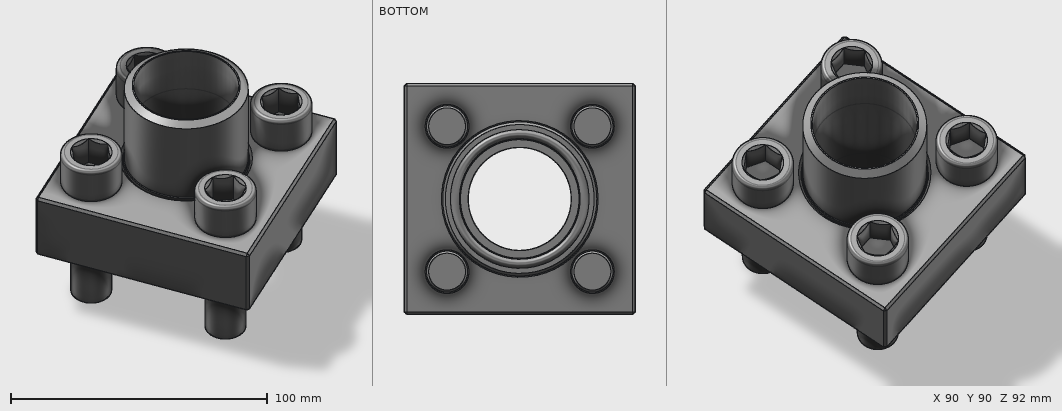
import cadquery as cq
import math

TOTAL_HEIGHT = 92.0
PLATE_BOTTOM = 26.0
PLATE_TOP = 55.0
FLANGE_BOTTOM = 23.5
RING_BOTTOM = 23.0

PLATE_SIDE = 90.0
PLATE_CHAMFER = 1.0
NECK_HOLE_DIAMETER = 49.5
NECK_HOLE_CHAMFER = 1.0
FLANGE_RECESS_DIAMETER = 61.0
SCREW_HOLE_DIAMETER = 17.0
SCREW_SPACING = 56.6
SCREW_COUNT = 4

NECK_DIAMETER = 48.3
SHOULDER_DIAMETER = 49.0
FLANGE_DIAMETER = 60.0
FLANGE_TOP = 36.8
FLANGE_CHAMFER = 1.0
UPPER_BORE_DIAMETER = 40.9
LOWER_BORE_DIAMETER = 40.0
BORE_TAPER_TOP = 73.05
WELD_LAND = 0.55
WELD_BEVEL_ANGLE = 30.0

GROOVE_OUTER_DIAMETER = 54.0
GROOVE_INNER_DIAMETER = 46.2
RING_THICKNESS = 3.5

SHANK_DIAMETER = 16.0
SHANK_TIP_CHAMFER = 0.8
HEAD_DIAMETER = 24.0
HEAD_HEIGHT = 15.9
HEAD_TOP_FILLET = 1.6
HEAD_BOTTOM_FILLET = 1.4
SOCKET_SIDES = 6
SOCKET_CORNER_DIAMETER = 16.2
SOCKET_DEPTH = 12.0
SOCKET_BEVEL_ANGLE = 45.0


def cylinder(diameter, bottom, top):
    """Solid cylinder on the Z axis between two heights."""
    return cq.Workplane("XY").workplane(offset=bottom).circle(diameter / 2).extrude(top - bottom)


def make_plate():
    """Square plate with the neck hole, a recess for the flange and four screw holes."""
    thickness = PLATE_TOP - PLATE_BOTTOM
    block = (
        cq.Workplane("XY")
        .workplane(offset=PLATE_BOTTOM)
        .rect(PLATE_SIDE, PLATE_SIDE)
        .extrude(thickness)
        .edges()
        .chamfer(PLATE_CHAMFER)
    )
    block = block.cut(cylinder(NECK_HOLE_DIAMETER, PLATE_BOTTOM, PLATE_TOP))
    block = block.faces(">Z").edges("%CIRCLE").chamfer(NECK_HOLE_CHAMFER)
    block = block.cut(cylinder(FLANGE_RECESS_DIAMETER, PLATE_BOTTOM, FLANGE_TOP))
    screw_holes = (
        cq.Workplane("XY")
        .rarray(SCREW_SPACING, SCREW_SPACING, 2, 2)
        .circle(SCREW_HOLE_DIAMETER / 2)
        .extrude(PLATE_TOP)
    )
    return block.cut(screw_holes)


def make_neck():
    """Tube with a weld bevel on top, a wider shoulder inside the plate and a flange below.

    A 45 degree step joins the shoulder to the tube, and the flange face has a seal groove.
    """
    neck_radius = NECK_DIAMETER / 2
    shoulder_radius = SHOULDER_DIAMETER / 2
    shoulder_step = shoulder_radius - neck_radius
    flange_radius = FLANGE_DIAMETER / 2
    upper_bore_radius = UPPER_BORE_DIAMETER / 2
    lower_bore_radius = LOWER_BORE_DIAMETER / 2
    bevel_inner_radius = upper_bore_radius + WELD_LAND
    bevel_drop = (neck_radius - bevel_inner_radius) * math.tan(math.radians(WELD_BEVEL_ANGLE))
    body = (
        cq.Workplane("XZ")
        .moveTo(lower_bore_radius, FLANGE_BOTTOM)
        .lineTo(flange_radius - FLANGE_CHAMFER, FLANGE_BOTTOM)
        .lineTo(flange_radius, FLANGE_BOTTOM + FLANGE_CHAMFER)
        .lineTo(flange_radius, FLANGE_TOP)
        .lineTo(shoulder_radius, FLANGE_TOP)
        .lineTo(shoulder_radius, PLATE_TOP)
        .lineTo(neck_radius, PLATE_TOP + shoulder_step)
        .lineTo(neck_radius, TOTAL_HEIGHT - bevel_drop)
        .lineTo(bevel_inner_radius, TOTAL_HEIGHT)
        .lineTo(upper_bore_radius, TOTAL_HEIGHT)
        .lineTo(upper_bore_radius, BORE_TAPER_TOP)
        .lineTo(lower_bore_radius, FLANGE_TOP)
        .close()
        .revolve(360, (0, 0, 0), (0, 1, 0))
    )
    groove_top = RING_BOTTOM + RING_THICKNESS
    groove = cylinder(GROOVE_OUTER_DIAMETER, FLANGE_BOTTOM, groove_top).cut(
        cylinder(GROOVE_INNER_DIAMETER, FLANGE_BOTTOM, groove_top)
    )
    return body.cut(groove)


def make_sealing_ring():
    """Round-section ring against the outer wall of the groove, standing proud of the flange."""
    section_radius = RING_THICKNESS / 2
    section_center = GROOVE_OUTER_DIAMETER / 2 - section_radius
    return (
        cq.Workplane("XZ")
        .center(section_center, RING_BOTTOM + section_radius)
        .circle(section_radius)
        .revolve(360, (-section_center, 0, 0), (-section_center, 1, 0))
    )


def make_screw():
    """Socket head cap screw on the Z axis, its head resting on the plate."""
    head_top = PLATE_TOP + HEAD_HEIGHT
    head = cylinder(HEAD_DIAMETER, PLATE_TOP, head_top)
    head = head.faces(">Z").edges().fillet(HEAD_TOP_FILLET)
    head = head.faces("<Z").edges().fillet(HEAD_BOTTOM_FILLET)
    shank = cylinder(SHANK_DIAMETER, 0, PLATE_TOP).faces("<Z").chamfer(SHANK_TIP_CHAMFER)

    socket = (
        cq.Workplane("XY")
        .workplane(offset=head_top - SOCKET_DEPTH)
        .polygon(SOCKET_SIDES, SOCKET_CORNER_DIAMETER)
        .extrude(SOCKET_DEPTH)
    )
    corner_radius = SOCKET_CORNER_DIAMETER / 2
    cone_depth = corner_radius * math.tan(math.radians(SOCKET_BEVEL_ANGLE))
    socket_bevel = cq.Workplane(
        cq.Solid.makeCone(0, corner_radius, cone_depth, cq.Vector(0, 0, head_top - cone_depth))
    )
    return head.union(shank).cut(socket).cut(socket_bevel)


plate = make_plate()
neck = make_neck()
sealing_ring = make_sealing_ring()

first_screw = make_screw().translate((SCREW_SPACING / 2, SCREW_SPACING / 2, 0))
screws = []
for index in range(SCREW_COUNT):
    angle = index * 360 / SCREW_COUNT
    screws.append(first_screw.rotate((0, 0, 0), (0, 0, 1), angle).val())

result = cq.Compound.makeCompound([plate.val(), neck.val(), sealing_ring.val(), *screws])